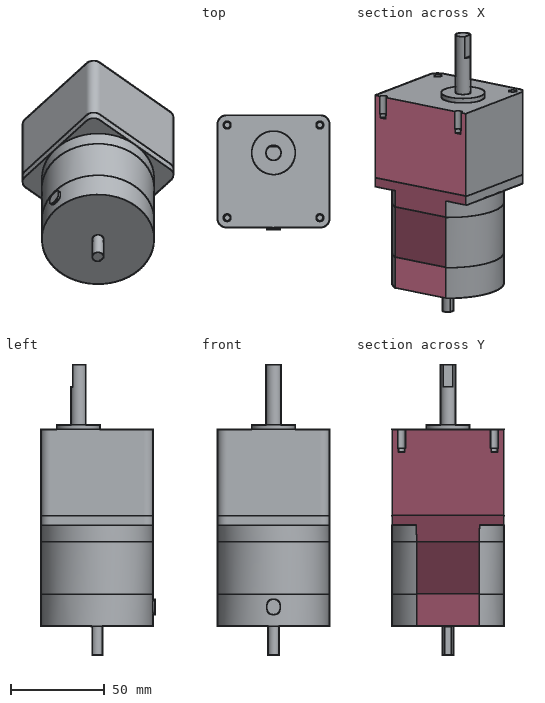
import cadquery as cq

side = 60.0
rear_shaft_length = 15.5
cap_height = 17.0
can_height = 27.9
collar_height = 9.0
flange_height = 5.0
gearbox_height = 46.0
boss_height = 2.5
output_shaft_length = 32.1

cap_bottom = rear_shaft_length
can_bottom = cap_bottom + cap_height
collar_bottom = can_bottom + can_height
flange_bottom = collar_bottom + collar_height
gearbox_bottom = flange_bottom + flange_height
gearbox_top = gearbox_bottom + gearbox_height
boss_top = gearbox_top + boss_height
output_shaft_top = boss_top + output_shaft_length

corner_radius = 5.0
mounting_hole_pitch = 49.5
mounting_hole_diameter = 4.0
mounting_hole_depth = 9.9
pilot_hole_diameter = 3.3
pilot_hole_depth = 12.0
output_offset = 9.9
boss_diameter = 23.2

output_shaft_diameter = 8.0
output_flat_depth = 1.0
output_flat_length = 12.0
rear_shaft_diameter = 6.0
rear_flat_depth = 0.5
rear_flat_gap = 0.5

pad_width = 7.0
pad_height = 8.0
pad_corner_radius = 3.0
pad_protrusion = 1.1
pad_center_z = cap_bottom + 10.2


def cylinder(diameter, height, bottom, y=0):
    """Vertical cylinder whose axis passes through (0, y)."""
    return cq.Workplane("XY", origin=(0, y, bottom)).circle(diameter / 2).extrude(height)


def rounded_square(height, bottom):
    """Square block with rounded vertical edges."""
    block = cq.Workplane("XY", origin=(0, 0, bottom)).rect(side, side).extrude(height)
    return block.edges("|Z").fillet(corner_radius)


def cut_flat(shaft, diameter, axis_y, depth, bottom, length):
    """Remove everything beyond a flat on the +Y side of a shaft."""
    flat_y = axis_y + diameter / 2 - depth
    cutter = cq.Workplane("XY").box(diameter, diameter, length, centered=(True, False, False))
    return shaft.cut(cutter.translate((0, flat_y, bottom)))


def corner_holes(diameter, depth):
    """Four pins that cut blind holes into the gearbox corners from above."""
    return (
        cq.Workplane("XY", origin=(0, 0, gearbox_top))
        .rect(mounting_hole_pitch, mounting_hole_pitch, forConstruction=True)
        .vertices()
        .circle(diameter / 2)
        .extrude(-depth)
    )


def make_gearbox():
    """Gear housing with the output boss and four stepped blind mounting holes."""
    boss = cylinder(boss_diameter, boss_height, gearbox_top, output_offset)
    housing = rounded_square(gearbox_height, gearbox_bottom).union(boss)
    housing = housing.cut(corner_holes(mounting_hole_diameter, mounting_hole_depth))
    return housing.cut(corner_holes(pilot_hole_diameter, pilot_hole_depth))


def make_adapter():
    """Square flange under the gearbox with a round collar that meets the motor."""
    collar = cylinder(side, collar_height, collar_bottom)
    return rounded_square(flange_height, flange_bottom).union(collar)


def make_motor_can():
    return cylinder(side, can_height, can_bottom)


def make_end_cap():
    """Rear motor cap in one piece with its shaft, which is flat along nearly all of its length."""
    shaft = cylinder(rear_shaft_diameter, rear_shaft_length, 0)
    flat_length = rear_shaft_length - rear_flat_gap
    shaft = cut_flat(shaft, rear_shaft_diameter, 0, rear_flat_depth, 0, flat_length)
    return cylinder(side, cap_height, cap_bottom).union(shaft)


def make_pad():
    """Rounded pad whose back follows the cylindrical wall of the end cap."""
    pad = (
        cq.Workplane("XZ", origin=(0, 0, pad_center_z))
        .rect(pad_width, pad_height)
        .extrude(side / 2 + pad_protrusion)
        .edges("|Y")
        .fillet(pad_corner_radius)
    )
    return pad.cut(cylinder(side, cap_height, cap_bottom))


def make_output_shaft():
    """Shaft on the boss, with a flat at its upper end."""
    shaft = cylinder(output_shaft_diameter, output_shaft_length, boss_top, output_offset)
    flat_bottom = output_shaft_top - output_flat_length
    return cut_flat(
        shaft, output_shaft_diameter, output_offset, output_flat_depth, flat_bottom, output_flat_length
    )


gearbox = make_gearbox()
adapter = make_adapter()
motor_can = make_motor_can()
end_cap = make_end_cap()
pad = make_pad()
output_shaft = make_output_shaft()

result = cq.Compound.makeCompound([
    gearbox.val(),
    adapter.val(),
    motor_can.val(),
    end_cap.val(),
    pad.val(),
    output_shaft.val(),
])